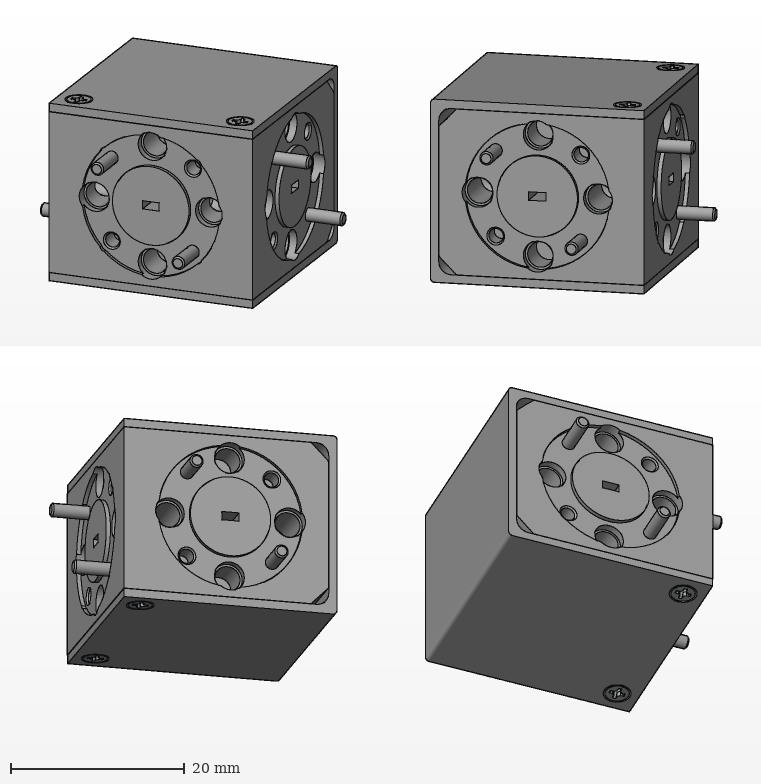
import cadquery as cq
import math

port_span = 25.4
overall_height = 21.6
half_span = port_span / 2

plate = 1.0
clearance = 0.05
setback = 0.05
cover_outer_radius = 0.5
cover_inner_radius = 1.5

block_height = overall_height - 2 * (plate + clearance)
block_front = -half_span
block_back = half_span - plate - clearance
block_bevel = 2.07

boss_radius = 4.78
recess_radius = 8.6
recess_depth = 0.5
bolt_circle_radius = 7.15
diagonal = bolt_circle_radius * math.sqrt(0.5)
guide_width = 2.05
guide_height = 1.0
guide_depth = 6.68

pin_radius = 0.785
pin_height = 4.0
pin_chamfer = 0.2
pin_hole_radius = 0.852
pin_hole_chamfer = 0.2
pin_hole_depth = 2.67

bolt_hole_radius = 1.5
bolt_hole_depth = half_span - bolt_circle_radius
counterbore_radius = 1.77
counterbore_depth = recess_depth + 0.95
side_hole_depth = half_span - bolt_circle_radius + 1.5 * bolt_hole_radius
drill_tip_height = bolt_hole_radius / math.tan(math.radians(59))

notch_radius = 0.65
notch_distance = 8.05

screw_offset = 10.05
countersink_radius = 1.6
head_radius = 1.4
shank_radius = 0.77
screw_reach = 3.35
drive_radius = 0.95
drive_depth = 1.35
drive_arm_width = 0.4
drive_core_width = 1.0

front_face = cq.Plane(origin=(0, -half_span, 0), xDir=(1, 0, 0), normal=(0, -1, 0))
left_face = cq.Plane(origin=(-half_span, 0, 0), xDir=(0, -1, 0), normal=(-1, 0, 0))
right_face = cq.Plane(origin=(half_span, 0, 0), xDir=(0, 1, 0), normal=(1, 0, 0))

beside_guide = [(-bolt_circle_radius, 0), (bolt_circle_radius, 0)]
above_and_below_guide = [(0, bolt_circle_radius), (0, -bolt_circle_radius)]
pin_points = [(-diagonal, diagonal), (diagonal, -diagonal)]
pin_hole_points = [(diagonal, diagonal), (-diagonal, -diagonal)]


def bore(face, points, radius, depth):
    """Flat-bottomed round cutters going into a face."""
    return cq.Workplane(face).pushPoints(points).circle(radius).extrude(-depth)


def cone_into(face, points, radius, depth, start=0.0):
    """Cones that start below a face and narrow to a point as they go in."""
    normal = face.zDir
    cutters = cq.Workplane(face)
    for u, v in points:
        tip = cq.Solid.makeCone(radius, 0, depth, face.toWorldCoords((u, v, -start)), -normal)
        cutters = cutters.add(tip)
    return cutters


def cut_flange(block, face):
    """Recess with centre boss, waveguide opening, bolt holes and pin holes."""
    ring = cq.Workplane(face).circle(recess_radius).circle(boss_radius).extrude(-recess_depth)
    guide = cq.Workplane(face).rect(guide_width, guide_height).extrude(-guide_depth)
    bolt_points = beside_guide + above_and_below_guide
    block = block.cut(ring).cut(guide)
    block = block.cut(bore(face, bolt_points, counterbore_radius, counterbore_depth))
    block = block.cut(bore(face, bolt_points, bolt_hole_radius, bolt_hole_depth))
    block = block.cut(bore(face, pin_hole_points, pin_hole_radius, recess_depth + pin_hole_depth))
    mouth_radius = pin_hole_radius + pin_hole_chamfer
    return block.cut(cone_into(face, pin_hole_points, mouth_radius, mouth_radius, recess_depth))


def drill_side_holes(block, face):
    """Deep bolt holes with drill tips, crossing the ends of the front holes."""
    block = block.cut(bore(face, beside_guide, bolt_hole_radius, side_hole_depth))
    return block.cut(cone_into(face, beside_guide, bolt_hole_radius, drill_tip_height, side_hole_depth))


def add_pins(block, face):
    """Alignment pins standing on the recess floor."""
    root = face.toWorldCoords((0, 0, -recess_depth))
    floor = cq.Plane(origin=root.toTuple(), xDir=face.xDir, normal=face.zDir)
    pins = cq.Workplane(floor).pushPoints(pin_points).circle(pin_radius).extrude(recess_depth + pin_height)
    return block.union(pins.faces(cq.selectors.DirectionMinMaxSelector(face.zDir)).chamfer(pin_chamfer))


def screw_axes():
    """Planes on the cover surface, facing outward, one at each screw."""
    axes = []
    for side in (1, -1):
        for x in (-screw_offset, screw_offset):
            seat = (x, -screw_offset, side * overall_height / 2)
            axes.append(cq.Plane(origin=seat, xDir=(1, 0, 0), normal=(0, 0, side)))
    return axes


def make_block():
    profile = [(block_front, -block_height / 2), (block_back, -block_height / 2),
               (block_back, block_height / 2), (block_front, block_height / 2)]
    block = cq.Workplane("YZ").polyline(profile).close().extrude(half_span, both=True)
    block = block.edges("|X and >Y").chamfer(block_bevel)
    for face in (front_face, left_face, right_face):
        block = cut_flange(block, face)
    for face in (left_face, right_face):
        block = drill_side_holes(block, face)
    notches = (cq.Workplane(front_face).polarArray(notch_distance, 45, 360, 4)
               .circle(notch_radius).extrude(-recess_depth))
    block = block.cut(notches)
    for face in (front_face, left_face, right_face):
        block = add_pins(block, face)
    for axis in screw_axes():
        block = block.cut(bore(axis, [(0, 0)], shank_radius, screw_reach))
    return block


def make_cover():
    cover_depth = port_span - setback
    inner_height = overall_height - 2 * plate
    shell = (cq.Workplane("XY").box(port_span, cover_depth, overall_height)
             .translate((0, setback / 2, 0)).edges("|X and >Y").fillet(cover_outer_radius))
    inside = (cq.Workplane("XY").box(port_span, cover_depth, inner_height)
              .translate((0, setback / 2 - plate, 0)).edges("|X and >Y").fillet(cover_inner_radius))
    cover = shell.cut(inside)
    for axis in screw_axes():
        cover = cover.cut(bore(axis, [(0, 0)], shank_radius, plate))
        cover = cover.cut(cone_into(axis, [(0, 0)], countersink_radius, countersink_radius))
    return cover


def make_screw(axis):
    """Flush countersunk screw with a cross recess whose floors slope to the centre."""
    profile = [(0, 0), (head_radius, 0), (shank_radius, shank_radius - head_radius),
               (shank_radius, -screw_reach), (0, -screw_reach)]
    screw = cq.Workplane("XZ").polyline(profile).close().revolve(360, (0, 0), (0, 1))
    top = cq.Workplane("XY")
    long_arm = top.rect(2 * drive_radius, drive_arm_width).extrude(-drive_depth)
    cross = long_arm.union(long_arm.rotate((0, 0, 0), (0, 0, 1), 90))
    core = top.rect(drive_core_width, drive_core_width).extrude(-drive_depth)
    cross = cross.union(core.rotate((0, 0, 0), (0, 0, 1), 45))
    drive = cross.intersect(cone_into(cq.Plane.XY(), [(0, 0)], drive_radius, drive_depth))
    return screw.cut(drive).solids().val().moved(cq.Location(axis))


block = make_block()
cover = make_cover()
screws = [make_screw(axis) for axis in screw_axes()]

result = cq.Compound.makeCompound([*block.solids().vals(), *cover.solids().vals(), *screws])